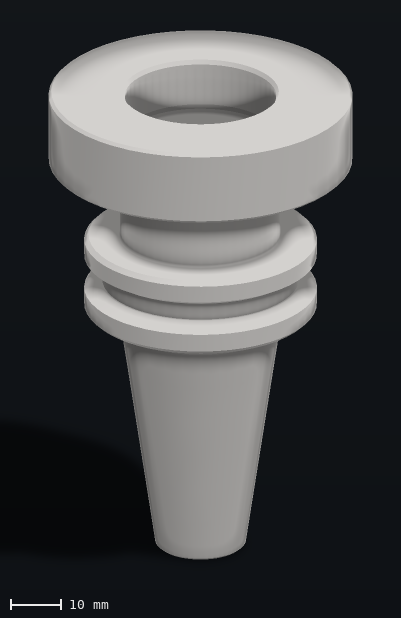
import cadquery as cq
import math

total_height = 97.6

head_diameter = 60.0
head_height = 15.0
head_chamfer = 0.6

bore_diameter = 30.0
bore_depth = 12.0
bore_chamfer_width = 0.5
bore_chamfer_angle = 30.0
relief_height = 2.5
relief_depth = 0.3
relief_ramp_angle = 15.0
relief_corner_radius = 0.8

neck_diameter = 31.7
root_fillet = 0.6

flange_diameter = 46.0
flange_top_drop = 30.9
flange_height = 15.8
flange_chamfer = 0.9
groove_diameter = 38.9
groove_foot_diameter = 40.0
groove_top_drop = 4.3
groove_mouth_width = 7.0
groove_flank_angle = 30.0

taper_height = 47.7
taper_half_ratio = 7 / 48
tip_chamfer = 0.5

head_radius = head_diameter / 2
bore_radius = bore_diameter / 2
neck_radius = neck_diameter / 2
flange_radius = flange_diameter / 2
groove_radius = groove_diameter / 2
groove_foot_radius = groove_foot_diameter / 2
tip_radius = neck_radius - taper_height * taper_half_ratio

head_bottom = total_height - head_height
flange_top = total_height - flange_top_drop
flange_bottom = flange_top - flange_height
groove_top = flange_top - groove_top_drop
groove_bottom = groove_top - groove_mouth_width
groove_flank_drop = (flange_radius - groove_foot_radius) * math.tan(math.radians(groove_flank_angle))


def make_body():
    """Revolve the outer outline from the tip up to the top face."""
    outline = [
        (0, 0),
        (tip_radius, 0),
        (neck_radius, taper_height),
        (neck_radius, flange_bottom),
        (flange_radius, flange_bottom),
        (flange_radius, groove_bottom),
        (groove_foot_radius, groove_bottom + groove_flank_drop),
        (groove_radius, groove_bottom + groove_flank_drop),
        (groove_radius, groove_top - groove_flank_drop),
        (groove_foot_radius, groove_top - groove_flank_drop),
        (flange_radius, groove_top),
        (flange_radius, flange_top),
        (neck_radius, flange_top),
        (neck_radius, head_bottom),
        (head_radius, head_bottom),
        (head_radius, total_height),
        (0, total_height),
    ]
    return cq.Workplane("XZ").polyline(outline).close().revolve(360, (0, 0), (0, 1))


def edges_at(body, radius, height):
    """Select the circular edge of the given radius at the given height."""
    tolerance = 0.01
    low = (-radius - tolerance, -radius - tolerance, height - tolerance)
    high = (radius + tolerance, radius + tolerance, height + tolerance)
    same_level = body.edges(cq.selectors.BoxSelector(low, high, boundingbox=True))
    return same_level.filter(lambda edge: abs(edge.radius() - radius) < tolerance)


def make_bore():
    """Revolve the bore with its mouth chamfer and its relief groove."""
    floor = total_height - bore_depth
    relief_radius = bore_radius + relief_depth
    relief_top = floor + relief_height
    ramp_height = relief_depth / math.tan(math.radians(relief_ramp_angle))
    chamfer_height = bore_chamfer_width / math.tan(math.radians(bore_chamfer_angle))
    arc_offset = relief_corner_radius * (1 - math.sqrt(0.5))
    return (
        cq.Workplane("XZ")
        .moveTo(0, floor)
        .lineTo(relief_radius - relief_corner_radius, floor)
        .threePointArc(
            (relief_radius - arc_offset, floor + arc_offset),
            (relief_radius, floor + relief_corner_radius),
        )
        .lineTo(relief_radius, relief_top - ramp_height)
        .lineTo(bore_radius, relief_top)
        .lineTo(bore_radius, total_height - chamfer_height)
        .lineTo(bore_radius + bore_chamfer_width, total_height)
        .lineTo(0, total_height)
        .close()
        .revolve(360, (0, 0), (0, 1))
    )


body = make_body()

for level in (head_bottom, flange_top, flange_bottom):
    body = edges_at(body, neck_radius, level).fillet(root_fillet)

for radius, level, size in (
    (head_radius, total_height, head_chamfer),
    (head_radius, head_bottom, head_chamfer),
    (flange_radius, flange_top, flange_chamfer),
    (flange_radius, flange_bottom, flange_chamfer),
    (tip_radius, 0, tip_chamfer),
):
    body = edges_at(body, radius, level).chamfer(size)

result = body.cut(make_bore())